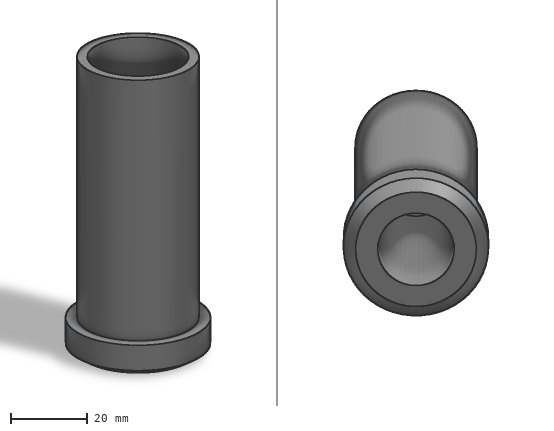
import cadquery as cq

total_height = 83.2
tube_diameter = 32.0
flange_diameter = 38.0
flange_height = 9.2
flange_chamfer_width = 3.2
flange_chamfer_height = 2.0

wide_bore_diameter = 26.5
wide_bore_depth = 19.2
taper_height = 6.8
narrow_bore_diameter = 20.0

tube_radius = tube_diameter / 2
flange_radius = flange_diameter / 2
wide_bore_radius = wide_bore_diameter / 2
narrow_bore_radius = narrow_bore_diameter / 2
taper_top = total_height - wide_bore_depth
taper_bottom = taper_top - taper_height


def sleeve():
    """Flanged tube, revolved about Z from the half section on its -Y side."""
    return (
        cq.Workplane("YZ")
        .moveTo(-narrow_bore_radius, 0)
        .lineTo(-(flange_radius - flange_chamfer_width), 0)
        .lineTo(-flange_radius, flange_chamfer_height)
        .lineTo(-flange_radius, flange_height)
        .lineTo(-tube_radius, flange_height)
        .lineTo(-tube_radius, total_height)
        .lineTo(-wide_bore_radius, total_height)
        .lineTo(-wide_bore_radius, taper_top)
        .lineTo(-narrow_bore_radius, taper_bottom)
        .close()
        .revolve(360, (0, 0, 0), (0, 1, 0))
    )


result = sleeve()